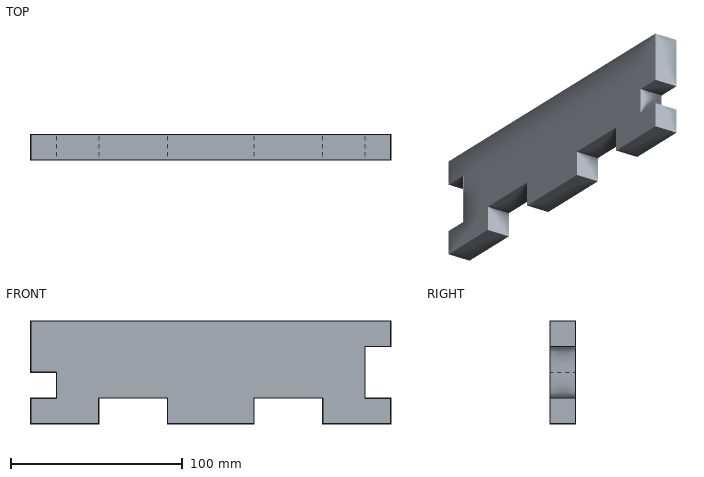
import cadquery as cq

length = 210.0
thickness = length / 14
height = 4 * thickness
left_notch_height = thickness
right_notch_height = 2 * thickness
bottom_notch_width = 40.0
bottom_notch_inset = 40.0


def notch(x_start, z_start, width, notch_height):
    """Block that cuts a notch through the full thickness of the board."""
    block = cq.Workplane("XY").box(width, thickness, notch_height, centered=False)
    return block.translate((x_start, 0, z_start))


result = cq.Workplane("XY").box(length, thickness, height, centered=False)

result = result.cut(notch(0, thickness, thickness, left_notch_height))
result = result.cut(notch(length - thickness, thickness, thickness, right_notch_height))

for x_start in (bottom_notch_inset, length - bottom_notch_inset - bottom_notch_width):
    result = result.cut(notch(x_start, 0, bottom_notch_width, thickness))